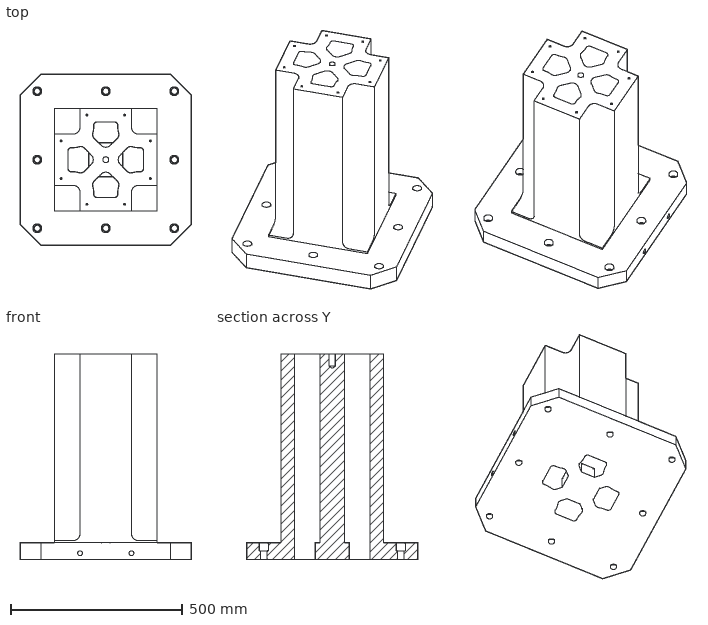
import cadquery as cq
import math

plate_side = 500.0
plate_thickness = 50.0
plate_corner_chamfer = 61.0

total_height = 600.0
column_side = 300.0
arm_width = 150.0
pad_height = 6.0
inner_radius = 20.0

wall_thickness = 40.0
rib_thickness = 41.0
pocket_tip_radius = 18.0
pocket_flare_radius = 14.5
pocket_outer_radius = 9.0
window_start = 50.0

bolt_spacing = 200.0
bolt_hole_diameter = 18.0
counterbore_diameter = 26.0
counterbore_depth = 24.0
side_hole_diameter = 14.0
side_hole_depth = 30.0
side_hole_spacing = 150.0
side_hole_height = 18.5
center_hole_diameter = 17.5
center_hole_depth = 36.0
top_hole_diameter = 5.0
top_hole_depth = 12.0
top_hole_edge_distance = 20.0
top_hole_spacing = 110.0
drill_point_angle = 118.0

pad_top = plate_thickness + pad_height
arm_half = arm_width / 2
column_half = column_side / 2


def cut_quarters(body, cutter):
    """Cut the cutter from the body in four places, a quarter turn apart about Z."""
    for quarter in range(4):
        body = body.cut(cutter.rotate((0, 0, 0), (0, 0, 1), 90 * quarter))
    return body


def drilled_hole(diameter, depth, mouth, direction):
    """Solid of a blind round hole with a conical end, running from its mouth along direction."""
    radius = diameter / 2
    point_length = radius / math.tan(math.radians(drill_point_angle / 2))
    profile = cq.Workplane("XZ").polyline(
        [(0, 0), (radius, 0), (radius, depth), (0, depth + point_length)]
    ).close()
    drill = profile.revolve(360, (0, 0, 0), (0, 1, 0)).val()
    return drill.moved(cq.Location(cq.Plane(origin=mouth, normal=direction)))


def make_plate():
    plate = cq.Workplane("XY").rect(plate_side, plate_side).extrude(plate_thickness)
    return plate.edges("|Z").chamfer(plate_corner_chamfer)


def make_column():
    """Square column with rounded notches cut out of its four corners, above the pad."""
    column = (
        cq.Workplane("XY").workplane(offset=plate_thickness)
        .rect(column_side, column_side).extrude(total_height - plate_thickness)
    )
    notch = (
        cq.Workplane("XY")
        .box(column_side, column_side, total_height, centered=False)
        .edges("(<X and <Y) or (<X and <Z) or (<Y and <Z)").fillet(inner_radius)
        .translate((arm_half, arm_half, pad_top))
    )
    return cut_quarters(column, notch)


def make_pocket():
    """Pocket in the +Y arm; its flared sides keep an even wall around the corner notches."""
    half_width = arm_half - wall_thickness
    outer_y = column_half - wall_thickness
    arc_center = arm_half + inner_radius
    arc_radius = inner_radius + wall_thickness
    tip_y = rib_thickness / math.sqrt(2)

    arc_end_angle = 1.25 * math.pi - math.asin(tip_y / (arc_radius * math.sqrt(2)))
    arc_mid_angle = (math.pi + arc_end_angle) / 2

    def on_arc(angle):
        x = arc_center + arc_radius * math.cos(angle)
        y = arc_center + arc_radius * math.sin(angle)
        return x, y

    end_x, end_y = on_arc(arc_end_angle)
    mid_x, mid_y = on_arc(arc_mid_angle)
    profile = (
        cq.Workplane("XY")
        .moveTo(0, tip_y)
        .lineTo(end_x, end_y)
        .threePointArc((mid_x, mid_y), (half_width, arc_center))
        .lineTo(half_width, outer_y)
        .lineTo(-half_width, outer_y)
        .lineTo(-half_width, arc_center)
        .threePointArc((-mid_x, mid_y), (-end_x, end_y))
        .close()
    )
    pocket = profile.extrude(total_height)
    corners = [
        (0, tip_y, pocket_tip_radius),
        (end_x, end_y, pocket_flare_radius),
        (-end_x, end_y, pocket_flare_radius),
        (half_width, outer_y, pocket_outer_radius),
        (-half_width, outer_y, pocket_outer_radius),
    ]
    for x, y, radius in corners:
        corner = cq.selectors.NearestToPointSelector((x, y, total_height / 2))
        pocket = pocket.edges("|Z").edges(corner).fillet(radius)

    ledge = cq.Workplane("XY").rect(column_side, 2 * window_start).extrude(plate_thickness)
    return pocket.cut(ledge)


body = cut_quarters(make_plate().union(make_column()), make_pocket())

bolt_points = [
    (x_step * bolt_spacing, y_step * bolt_spacing)
    for x_step in (-1, 0, 1)
    for y_step in (-1, 0, 1)
    if (x_step, y_step) != (0, 0)
]
bolt_holes = (
    cq.Workplane("XY").pushPoints(bolt_points)
    .circle(bolt_hole_diameter / 2).extrude(plate_thickness)
)
counterbores = (
    cq.Workplane("XY").workplane(offset=plate_thickness - counterbore_depth).pushPoints(bolt_points)
    .circle(counterbore_diameter / 2).extrude(counterbore_depth)
)
body = body.cut(bolt_holes).cut(counterbores)

for side in (-1, 1):
    mouth = (side * side_hole_spacing / 2, -plate_side / 2, side_hole_height)
    body = body.cut(drilled_hole(side_hole_diameter, side_hole_depth, mouth, (0, 1, 0)))

body = body.cut(drilled_hole(center_hole_diameter, center_hole_depth, (0, 0, total_height), (0, 0, -1)))

top_hole_reach = column_half - top_hole_edge_distance
for side in (-1, 1):
    top_hole = drilled_hole(
        top_hole_diameter, top_hole_depth,
        (side * top_hole_spacing / 2, top_hole_reach, total_height), (0, 0, -1),
    )
    body = cut_quarters(body, cq.Workplane(top_hole))

result = body